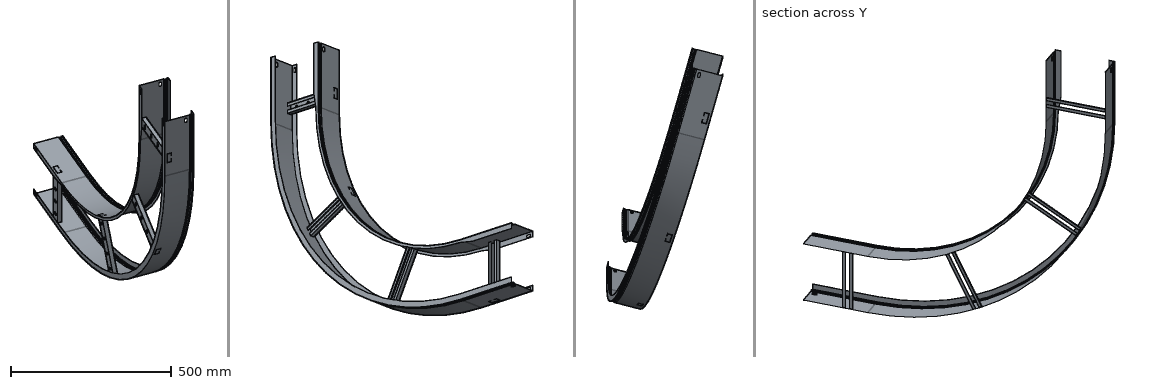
import cadquery as cq


outer_radius = 801.0
rail_spacing = 200.0
inner_radius = outer_radius - rail_spacing
leg_length_x = 217.0
leg_length_z = 216.0
rail_height = 100.0
sheet = 1.5
flange = 19.0
inner_bend_flange = 10.0
taper_length = 54.0

groove_from_back = 9.7
groove_center = rail_height - groove_from_back
groove_depth = 2.5
groove_floor = 3.6
groove_mouth = 11.0

slot_length = 16.0
slot_width = 8.0
slot_from_end = 17.0
web_slot_y = 72.0
flange_slot_offset = 12.0

rung_inner_end = inner_radius + sheet
rung_outer_end = outer_radius - sheet
rung_width = 36.0
rung_height = 16.0
rung_y = 8.0
rung_lip = 11.0
rung_from_end = 149.0
rung_bend_angle = 27.5
rung_slot_length = 15.0
rung_slot_width = 8.0
rung_slot_pitch = 49.0
rung_slot_count = 4


def rail_profile(radius, side, flange_depth):
    """C section as (radius, y) points; side is +1 for flanges pointing outwards, -1 inwards."""
    mouth_low = groove_center - groove_mouth / 2
    mouth_high = groove_center + groove_mouth / 2
    floor_low = groove_center - groove_floor / 2
    floor_high = groove_center + groove_floor / 2
    points = [
        (0, 0),
        (0, mouth_low),
        (groove_depth, floor_low),
        (groove_depth, floor_high),
        (0, mouth_high),
        (0, rail_height),
        (flange_depth, rail_height),
        (flange_depth, rail_height - sheet),
        (sheet, rail_height - sheet),
        (sheet, mouth_high),
        (groove_depth + sheet, floor_high),
        (groove_depth + sheet, floor_low),
        (sheet, mouth_low),
        (sheet, sheet),
        (flange_depth, sheet),
        (flange_depth, 0),
    ]
    section = [(radius + side * depth, y) for depth, y in points]
    return cq.Workplane("XY").polyline(section).close()


def rail_leg(radius, side, bend_flange, length, has_web_slot=True):
    """Straight leg running towards +Z from the end of the bend."""
    leg = rail_profile(radius, side, flange).extrude(length)

    if bend_flange < flange:
        tip = radius + side * flange
        taper = [(radius + side * bend_flange, 0), (tip, 0), (tip, taper_length)]
        leg = leg.cut(cq.Workplane("XZ").polyline(taper).close().extrude(-rail_height))

    slot_z = length - slot_from_end
    flange_slot = (
        cq.Workplane("XZ")
        .center(radius + side * flange_slot_offset, slot_z)
        .slot2D(slot_length, slot_width, 90)
        .extrude(-sheet)
    )
    leg = leg.cut(flange_slot)

    if has_web_slot:
        web_slot = (
            cq.Workplane("YZ", origin=(radius, 0, 0))
            .center(web_slot_y, slot_z)
            .slot2D(slot_length, slot_width, 90)
            .extrude(sheet, both=True)
        )
        leg = leg.cut(web_slot)
    return leg


def turn_to_x_leg(body):
    """Move a body from the leg towards +Z to the same place on the leg towards -X."""
    return body.rotate((0, 0, 0), (0, 1, 0), 90).mirror("YZ")


def side_rail(radius, side, bend_flange, x_leg_has_web_slot):
    bend = rail_profile(radius, side, bend_flange).revolve(90, (0, 0, 0), (0, 1, 0))
    z_leg = rail_leg(radius, side, bend_flange, leg_length_z)
    x_leg = turn_to_x_leg(rail_leg(radius, side, bend_flange, leg_length_x, x_leg_has_web_slot))
    return bend.union(z_leg).union(x_leg)


def rung():
    """Rung along X between the inside faces of the webs, centred on Z = 0."""
    half_width = rung_width / 2
    top = rung_y + rung_height
    channel = (
        cq.Workplane("YZ", origin=(rung_inner_end, 0, 0))
        .polyline([
            (rung_y, -half_width),
            (top, -half_width),
            (top, -half_width + rung_lip),
            (top - sheet, -half_width + rung_lip),
            (top - sheet, -half_width + sheet),
            (rung_y + sheet, -half_width + sheet),
            (rung_y + sheet, half_width - sheet),
            (top - sheet, half_width - sheet),
            (top - sheet, half_width - rung_lip),
            (top, half_width - rung_lip),
            (top, half_width),
            (rung_y, half_width),
        ])
        .close()
        .extrude(rung_outer_end - rung_inner_end)
    )
    slots = (
        cq.Workplane("XZ", origin=((rung_inner_end + rung_outer_end) / 2, rung_y, 0))
        .rarray(rung_slot_pitch, 10, rung_slot_count, 1)
        .slot2D(rung_slot_length, rung_slot_width, 90)
        .extrude(-sheet)
    )
    return channel.cut(slots)


def bend_rung(angle):
    """Rung on the bend, its ends rounded to fit the curved webs."""
    ring = cq.Workplane("XZ").circle(rung_outer_end).circle(rung_inner_end).extrude(-rail_height)
    return rung().rotate((0, 0, 0), (0, 1, 0), angle).intersect(ring)


rungs = [
    rung().translate((0, 0, leg_length_z - rung_from_end)),
    turn_to_x_leg(rung().translate((0, 0, leg_length_x - rung_from_end))),
]
for bend_angle in (rung_bend_angle, 90 - rung_bend_angle):
    rungs.append(bend_rung(bend_angle))

inner_rail = side_rail(inner_radius, 1, inner_bend_flange, False)
outer_rail = side_rail(outer_radius, -1, flange, True)

result = cq.Compound.makeCompound(
    [inner_rail.val(), outer_rail.val(), *[member.val() for member in rungs]]
)